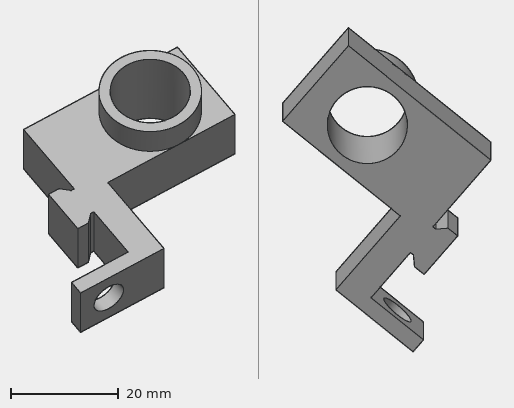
import cadquery as cq

total_width = 37.75
total_depth = 47.25
total_height = 18.0
plate_height = 12.0

block_width = 19.1
block_depth = 34.55
block_front = total_depth - block_depth
ring_diameter = block_width
bore_diameter = 14.9
ring_x = block_width / 2
ring_y = total_depth - 12.55

arm_thickness = 6.0
arm_back = block_front + arm_thickness
tab_thickness = 3.02
tab_left = total_width - tab_thickness
tab_hole_diameter = 6.6
tab_hole_y = 6.35

rail_x = 20.1
rail_neck_width = 6.5
rail_head_width = 9.75
rail_depth = 4.7
rail_neck_depth = 0.7
rail_head_straight = 2.35
rail_front = block_front - rail_depth


def make_plate():
    """Block, arm and tab as one extruded outline."""
    return (
        cq.Workplane("XY")
        .moveTo(0, block_front)
        .lineTo(tab_left, block_front)
        .lineTo(tab_left, 0)
        .lineTo(total_width, 0)
        .lineTo(total_width, arm_back)
        .lineTo(block_width, arm_back)
        .lineTo(block_width, total_depth)
        .lineTo(0, total_depth)
        .close()
        .extrude(plate_height)
    )


def make_rail():
    """Rail with a narrow neck and sloped shoulders, starting inside the arm."""
    half_neck = rail_neck_width / 2
    half_head = rail_head_width / 2
    root_y = block_front + arm_thickness / 2
    neck_front = block_front - rail_neck_depth
    shoulder_front = rail_front + rail_head_straight
    return (
        cq.Workplane("XY")
        .moveTo(rail_x - half_neck, root_y)
        .lineTo(rail_x - half_neck, neck_front)
        .lineTo(rail_x - half_head, shoulder_front)
        .lineTo(rail_x - half_head, rail_front)
        .lineTo(rail_x + half_head, rail_front)
        .lineTo(rail_x + half_head, shoulder_front)
        .lineTo(rail_x + half_neck, neck_front)
        .lineTo(rail_x + half_neck, root_y)
        .close()
        .extrude(plate_height)
    )


def make_ring_cylinder(diameter):
    """Full-height cylinder on the ring axis."""
    return cq.Workplane("XY").center(ring_x, ring_y).circle(diameter / 2).extrude(total_height)


def make_tab_hole():
    """Cross hole along X through the tab, at mid-height."""
    return (
        cq.Workplane("YZ", origin=(tab_left, tab_hole_y, plate_height / 2))
        .circle(tab_hole_diameter / 2)
        .extrude(tab_thickness)
    )


solid = make_plate().union(make_rail()).union(make_ring_cylinder(ring_diameter))
result = solid.cut(make_ring_cylinder(bore_diameter)).cut(make_tab_hole())